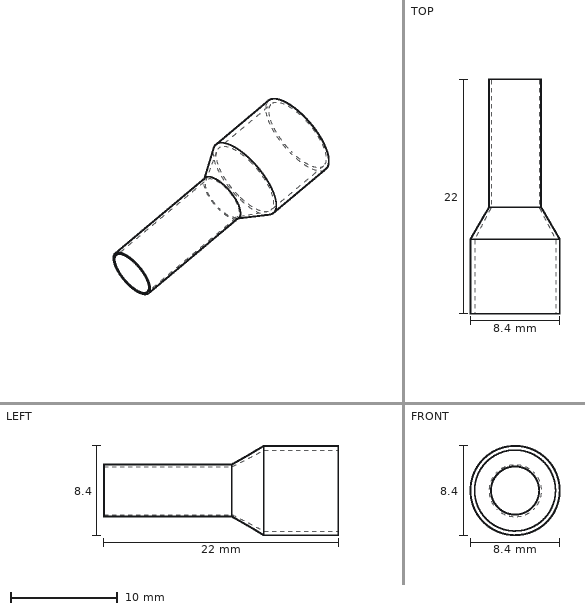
import cadquery as cq

collar_diameter = 8.4
collar_wall = 0.4
sleeve_diameter = 4.9
sleeve_wall = 0.2

total_length = 22.0
collar_length = 7.0
cone_length = 3.0

collar_radius = collar_diameter / 2
collar_bore_radius = collar_radius - collar_wall
sleeve_radius = sleeve_diameter / 2
sleeve_bore_radius = sleeve_radius - sleeve_wall
cone_end = collar_length + cone_length


def wall_section():
    """Half section of the wall: X is the radius, Y runs along the axis."""
    return (
        cq.Workplane("XY")
        .moveTo(collar_bore_radius, 0)
        .lineTo(collar_radius, 0)
        .lineTo(collar_radius, collar_length)
        .lineTo(sleeve_radius, cone_end)
        .lineTo(sleeve_radius, total_length)
        .lineTo(sleeve_bore_radius, total_length)
        .lineTo(sleeve_bore_radius, cone_end)
        .lineTo(collar_bore_radius, collar_length)
        .close()
    )


result = wall_section().revolve(360, (0, 0, 0), (0, 1, 0))